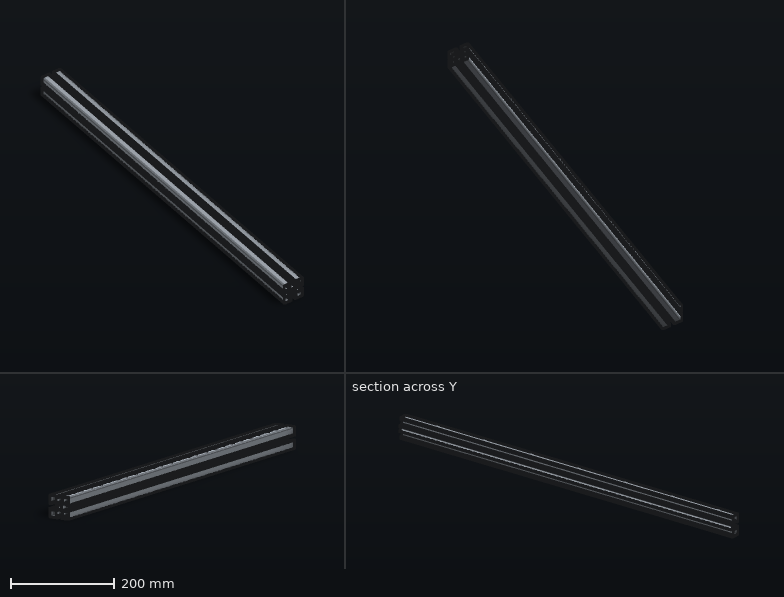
import cadquery as cq

length = 800.0
side = 45.0
corner_radius = 2.0
half_side = side / 2

slot_mouth_width = 9.0
lip_thickness = 5.0
slot_width = 13.0
slot_floor_width = 10.0
slot_taper_height = 2.0
slot_floor_level = 6.6

outer_wall = 1.8
hollow_start = 8.0
hollow_corner_radius = 1.2
lip_undercut = 1.4
undercut_height = 2.7

bore_diameter = 8.0

corner_angles = [0, 90, 180, 270]


def prism(points):
    """Extrude a closed cross-section outline, given as (y, z) points, over the full length."""
    return (
        cq.Workplane("YZ")
        .workplane(offset=-length / 2)
        .polyline(points)
        .close()
        .extrude(length)
    )


def turned(body, angle):
    """Turn a body about the long axis of the bar."""
    return body.rotate((0, 0, 0), (1, 0, 0), angle)


def make_slot():
    """Slot open at +Z: narrow mouth between the lips, wider cavity tapering to the floor."""
    lip_underside = half_side - lip_thickness
    right_half = [
        (slot_floor_width / 2, slot_floor_level),
        (slot_width / 2, slot_floor_level + slot_taper_height),
        (slot_width / 2, lip_underside),
        (slot_mouth_width / 2, lip_underside),
        (slot_mouth_width / 2, half_side),
    ]
    left_half = [(-y, z) for y, z in reversed(right_half)]
    return prism(right_half + left_half)


def make_hollow():
    """Closed pocket in the +Y +Z corner, reaching slightly over both neighbouring lips."""
    outer = half_side - outer_wall
    lip_reach = hollow_start - lip_undercut
    undercut_end = outer - undercut_height
    outline = [
        (hollow_start, hollow_start),
        (hollow_start, undercut_end),
        (lip_reach, outer),
        (outer, outer),
        (outer, lip_reach),
        (undercut_end, hollow_start),
    ]
    return prism(outline).edges("|X and >(0, 1, 1)").fillet(hollow_corner_radius)


bar = (
    cq.Workplane("YZ")
    .workplane(offset=-length / 2)
    .rect(side, side)
    .extrude(length)
    .edges("|X")
    .fillet(corner_radius)
)

slot = make_slot()
hollow = make_hollow()
for angle in corner_angles:
    bar = bar.cut(turned(slot, angle)).cut(turned(hollow, angle))

bore = (
    cq.Workplane("YZ")
    .workplane(offset=-length / 2)
    .circle(bore_diameter / 2)
    .extrude(length)
)

result = bar.cut(bore)